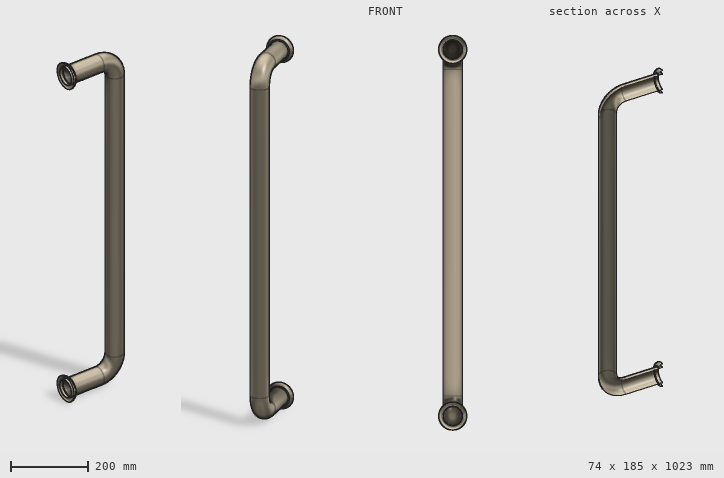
import cadquery as cq
import math

overall_height = 1023.0
overall_depth = 185.0
pipe_diameter = 51.0
pipe_bore = 48.0
bend_radius = 52.0
rosette_diameter = 74.0
rosette_depth = 12.0
rosette_floor = 3.0
rosette_rim = 1.0
dome_shoulder_radius = 35.0
dome_shoulder_y = 7.0
rosette_back_diameter = 59.0

arm_height = (overall_height - rosette_diameter) / 2
grip_y = overall_depth - pipe_diameter / 2
pipe_end_y = 0.0
bend_start_y = grip_y - bend_radius
bend_start_z = arm_height - bend_radius
bend_middle_y = bend_start_y + bend_radius * math.sin(math.pi / 4)
bend_middle_z = bend_start_z + bend_radius * math.sin(math.pi / 4)


def make_handle():
    """Hollow pipe with a long vertical grip and an arm at each end."""
    path = (
        cq.Workplane("YZ")
        .moveTo(pipe_end_y, -arm_height)
        .lineTo(bend_start_y, -arm_height)
        .threePointArc((bend_middle_y, -bend_middle_z), (grip_y, -bend_start_z))
        .lineTo(grip_y, bend_start_z)
        .threePointArc((bend_middle_y, bend_middle_z), (bend_start_y, arm_height))
        .lineTo(pipe_end_y, arm_height)
    )
    return (
        cq.Workplane("XZ", origin=(0, pipe_end_y, -arm_height))
        .circle(pipe_diameter / 2)
        .circle(pipe_bore / 2)
        .sweep(path)
    )


def make_rosette(center_z):
    """Thin domed cup around the pipe end, open towards -Y."""
    hole_radius = pipe_diameter / 2
    rim_radius = rosette_diameter / 2
    back_radius = rosette_back_diameter / 2
    floor_y = rosette_depth - rosette_floor
    profile = (
        cq.Workplane("XY")
        .moveTo(hole_radius, floor_y)
        .lineTo(hole_radius, rosette_depth)
        .lineTo(back_radius, rosette_depth)
        .threePointArc((dome_shoulder_radius, dome_shoulder_y), (rim_radius, 0))
        .lineTo(rim_radius - rosette_rim, 0)
        .threePointArc(
            (dome_shoulder_radius - rosette_rim, dome_shoulder_y - rosette_rim),
            (back_radius - rosette_rim, floor_y),
        )
        .close()
    )
    return profile.revolve(360, (0, 0, 0), (0, 1, 0)).translate((0, 0, center_z))


handle = make_handle()
rosettes = [make_rosette(center_z) for center_z in (-arm_height, arm_height)]

result = cq.Compound.makeCompound([handle.val(), *[rosette.val() for rosette in rosettes]])